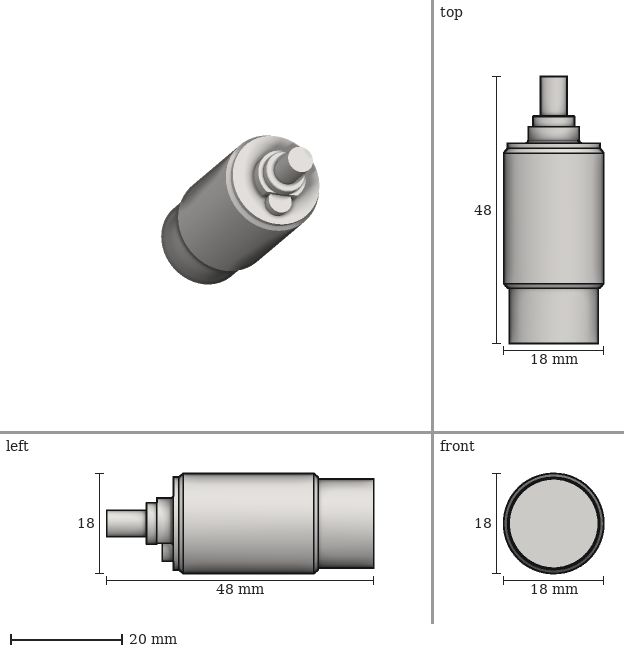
import cadquery as cq

total_length = 48.0

nose_radius = 8.0
nose_length = 10.0
body_diameter = 18.0
body_radius = body_diameter / 2
chamfer_length = 0.8
front_chamfer_depth = 0.7
flange_radius = 8.35
flange_thickness = 0.95

shaft_radius = 2.4
shaft_length = 7.1
collar_radius = 3.75
collar_length = 1.9
collar_chamfer = 0.15
hub_radius = 4.6
hub_length = 3.0
hub_flat_depth = 3.55
hub_fillet = 0.5

pin_radius = 2.2
pin_offset = 4.6
pin_length = 2.0

shaft_start = total_length - shaft_length
collar_start = shaft_start - collar_length
flange_end = collar_start - hub_length
flange_start = flange_end - flange_thickness


def cylinder(radius, start, length, z=0.0):
    """Cylinder along +Y, starting at Y = start."""
    axis = cq.Vector(0, 1, 0)
    return cq.Workplane(cq.Solid.makeCylinder(radius, length, cq.Vector(0, start, z), axis))


def make_body():
    """Nose, chamfered barrel and rear flange, revolved as one profile."""
    profile = [
        (0, 0),
        (nose_radius, 0),
        (nose_radius, nose_length),
        (body_radius - front_chamfer_depth, nose_length),
        (body_radius, nose_length + chamfer_length),
        (body_radius, flange_start - chamfer_length),
        (flange_radius, flange_start),
        (flange_radius, flange_end),
        (0, flange_end),
    ]
    return cq.Workplane("XY").polyline(profile).close().revolve(360, (0, 0), (0, 1))


def make_hub():
    """Round hub with a flat on its underside."""
    hub = cylinder(hub_radius, flange_end, hub_length)
    hub_height = hub_radius + hub_flat_depth
    keep = cq.Workplane("XY").box(2 * hub_radius, hub_length, hub_height, centered=(True, False, False))
    return hub.intersect(keep.translate((0, flange_end, -hub_flat_depth)))


def fillet_hub_base(part):
    """Round the inside corner between the hub and the flange."""
    reach = hub_radius + hub_fillet
    margin = hub_fillet / 2
    base_zone = cq.selectors.BoxSelector(
        (-reach, flange_end - margin, -reach),
        (reach, flange_end + margin, reach),
        boundingbox=True,
    )
    return part.edges(base_zone).fillet(hub_fillet)


result = fillet_hub_base(make_body().union(make_hub()))
collar = cylinder(collar_radius, collar_start, collar_length).faces(">Y").chamfer(collar_chamfer)
result = result.union(collar)
result = result.union(cylinder(shaft_radius, shaft_start, shaft_length))
result = result.union(cylinder(pin_radius, flange_end, pin_length, -pin_offset))